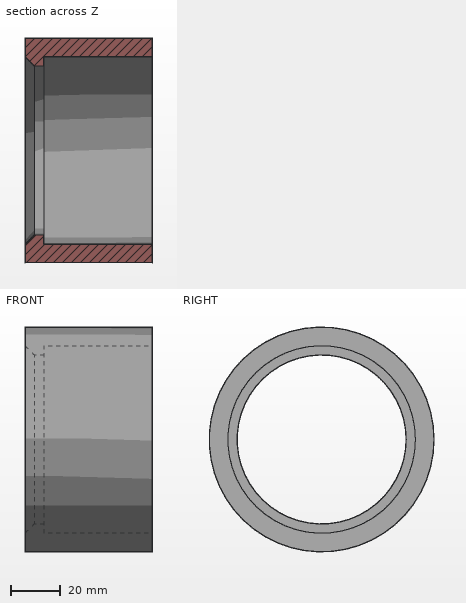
import cadquery as cq

length = 51.0
outer_diameter = 90.0
main_bore_diameter = 75.0
lip_diameter = 67.5
lip_land_length = 3.75

outer_radius = outer_diameter / 2
main_bore_radius = main_bore_diameter / 2
lip_radius = lip_diameter / 2
chamfer_depth = main_bore_radius - lip_radius

entry_x = -length / 2
land_start_x = entry_x + chamfer_depth
land_end_x = land_start_x + lip_land_length
exit_x = length / 2


def ring_with_inner_lip():
    """Ring whose -X end carries an inward lip, chamfered on its outer side and square on its inner side."""
    half_section = (
        cq.Workplane("XY")
        .moveTo(entry_x, outer_radius)
        .lineTo(exit_x, outer_radius)
        .lineTo(exit_x, main_bore_radius)
        .lineTo(land_end_x, main_bore_radius)
        .lineTo(land_end_x, lip_radius)
        .lineTo(land_start_x, lip_radius)
        .lineTo(entry_x, main_bore_radius)
        .close()
    )
    return half_section.revolve(360, (0, 0, 0), (1, 0, 0))


result = ring_with_inner_lip()